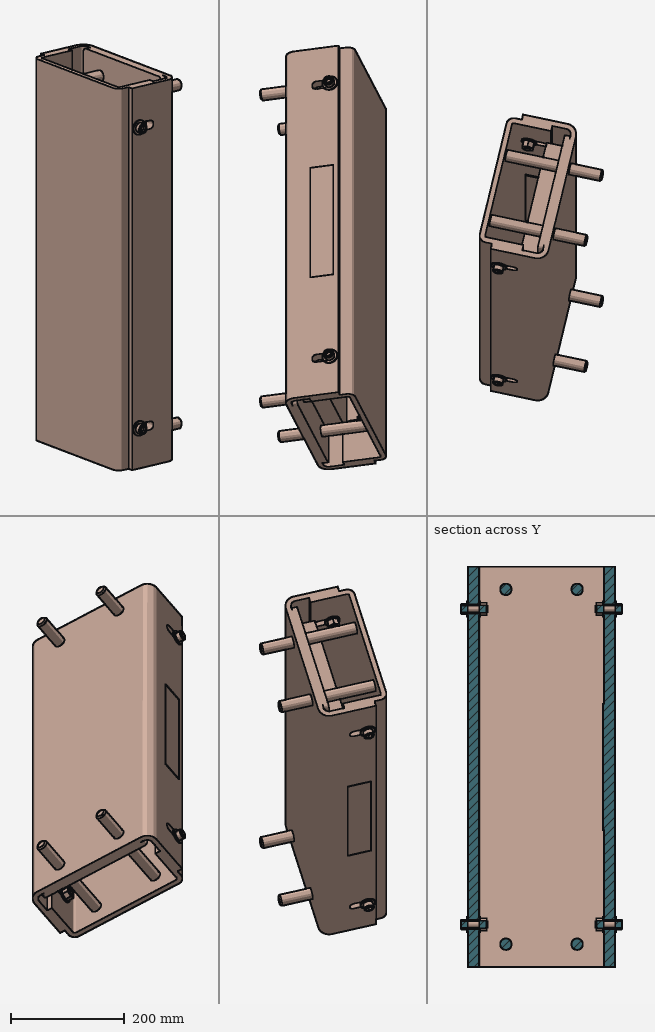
import cadquery as cq

LENGTH = 705.0
SHEET = 10.0
OUTER_WIDTH = 259.5
BODY_DEPTH = 125.0
INNER_WIDTH = OUTER_WIDTH - 2 * SHEET
CAVITY_WIDTH = INNER_WIDTH - 2 * SHEET

OUTER_LEG_FRONT = 25.0
INNER_LEG_BACK = 80.0
OUTER_CORNER_RADIUS = 20.0
INNER_CORNER_RADIUS = 13.5

BACKING_CORNER_RADIUS = 7.0
BLOCK_FRONT = 72.0
BLOCK_END_INSET = 62.0

ROD_DIAMETER = 20.5
ROD_SPACING = 125.5
ROD_TIP = 183.0
ROD_END_INSET = 40.0
ROD_CHAMFER = 3.0

BOLT_Y = 40.0
BOLT_END_INSET = 75.0
BOLT_SPAN = 284.0
SHANK_DIAMETER = 12.0
WASHER_DIAMETER = 27.0
WASHER_THICKNESS = 2.0
HEAD_DIAMETER = 17.5
HEAD_CHAMFER = 1.5
SOCKET_ACROSS_CORNERS = 11.0
SOCKET_DEPTH = 5.5
NUT_ACROSS_CORNERS = 22.0
NUT_HEIGHT = 11.0
SHANK_PROTRUSION = 2.0
SLOT_WIDTH = 15.5
SLOT_TRAVEL = 25.0

LABEL_FRONT = 34.0
LABEL_BACK = 76.0
LABEL_LENGTH = 223.0
LABEL_RECESS = 1.0
LABEL_INSIDE_RISE = 2.0

back_inside = BODY_DEPTH - SHEET


def box(width, y_front, y_back, z_bottom, z_top):
    """Block centred on X between the given Y and Z limits."""
    return cq.Workplane("XY").box(
        width, y_back - y_front, z_top - z_bottom, centered=(True, False, False)
    ).translate((0, y_front, z_bottom))


def channel(width, y_front, y_back, web_side, corner_radius):
    """Bent U-channel; web_side is 1 when the web is at the back and -1 when it is at the front."""
    web_edges = "|Z and >Y" if web_side > 0 else "|Z and <Y"
    blank = box(width, y_front, y_back, 0, LENGTH).edges(web_edges).fillet(corner_radius)
    hollow = box(width - 2 * SHEET, y_front, y_back, 0, LENGTH).translate((0, -web_side * SHEET, 0))
    hollow = hollow.edges(web_edges).fillet(corner_radius - SHEET)
    return blank.cut(hollow)


def x_cylinder(diameter, x_start, x_end, y, z):
    """Cylinder lying along X."""
    return cq.Workplane("YZ", origin=(x_start, y, z)).circle(diameter / 2).extrude(x_end - x_start)


def x_hexagon(across_corners, x_start, x_end, y, z):
    """Hexagonal prism lying along X, with two corners pointing along Z."""
    profile = cq.Sketch().regularPolygon(across_corners / 2, 6)
    return cq.Workplane("YZ", origin=(x_start, y, z)).placeSketch(profile).extrude(x_end - x_start)


def slot(z):
    """Slot cutter through both side walls, running back from the bolt position."""
    return (
        cq.Workplane("YZ", origin=(0, BOLT_Y + SLOT_TRAVEL / 2, z))
        .slot2D(SLOT_TRAVEL + SLOT_WIDTH, SLOT_WIDTH)
        .extrude(OUTER_WIDTH / 2, both=True)
    )


def bolt(z):
    """Socket bolt on the +X side with a washer each side of the wall and a nut inside."""
    washer_outside = OUTER_WIDTH / 2 + WASHER_THICKNESS
    washer_inside = CAVITY_WIDTH / 2 - WASHER_THICKNESS
    head_top = BOLT_SPAN / 2
    nut_end = washer_inside - NUT_HEIGHT
    head = x_cylinder(HEAD_DIAMETER, washer_outside, head_top, BOLT_Y, z)
    head = head.faces(">X").chamfer(HEAD_CHAMFER)
    socket = x_hexagon(SOCKET_ACROSS_CORNERS, head_top - SOCKET_DEPTH, head_top, BOLT_Y, z)
    shank = x_cylinder(SHANK_DIAMETER, nut_end - SHANK_PROTRUSION, washer_outside, BOLT_Y, z)
    return (
        head.cut(socket)
        .union(shank)
        .union(x_cylinder(WASHER_DIAMETER, OUTER_WIDTH / 2, washer_outside, BOLT_Y, z))
        .union(x_cylinder(WASHER_DIAMETER, washer_inside, CAVITY_WIDTH / 2, BOLT_Y, z))
        .union(x_hexagon(NUT_ACROSS_CORNERS, nut_end, washer_inside, BOLT_Y, z))
    )


def label_panel(x_start, thickness):
    """Flat rectangle at the label position, from x_start towards the middle of the part."""
    z_bottom = (LENGTH - LABEL_LENGTH) / 2
    panel = box(thickness, LABEL_FRONT, LABEL_BACK, z_bottom, z_bottom + LABEL_LENGTH)
    return panel.translate((x_start + thickness / 2, 0, 0))


def rod(x, z):
    """Anchor rod from the front web out through the back, chamfered at its tip."""
    shaft = cq.Workplane("XZ", origin=(x, SHEET, z)).circle(ROD_DIAMETER / 2).extrude(SHEET - ROD_TIP)
    return shaft.faces(">Y").chamfer(ROD_CHAMFER)


outer_channel = channel(OUTER_WIDTH, OUTER_LEG_FRONT, BODY_DEPTH, 1, OUTER_CORNER_RADIUS)
inner_channel = channel(INNER_WIDTH, 0, INNER_LEG_BACK, -1, INNER_CORNER_RADIUS)
result = outer_channel.union(inner_channel)
for bolt_z in (BOLT_END_INSET, LENGTH - BOLT_END_INSET):
    result = result.cut(slot(bolt_z))

backing = box(CAVITY_WIDTH, back_inside - SHEET, back_inside, 0, LENGTH)
result = result.union(backing.edges("|Y").fillet(BACKING_CORNER_RADIUS))
block = box(CAVITY_WIDTH, BLOCK_FRONT, back_inside, BLOCK_END_INSET, LENGTH - BLOCK_END_INSET)
result = result.union(block)

result = result.cut(label_panel(-OUTER_WIDTH / 2, LABEL_RECESS))
result = result.union(label_panel(-CAVITY_WIDTH / 2, LABEL_INSIDE_RISE))

for rod_z in (ROD_END_INSET, LENGTH - ROD_END_INSET):
    for side in (-1, 1):
        result = result.union(rod(side * ROD_SPACING / 2, rod_z))
for bolt_z in (BOLT_END_INSET, LENGTH - BOLT_END_INSET):
    right_bolt = bolt(bolt_z)
    result = result.union(right_bolt).union(right_bolt.mirror("YZ"))